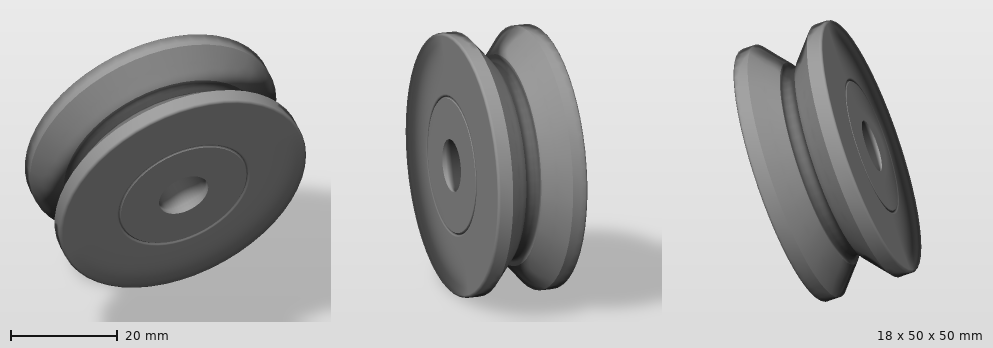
import cadquery as cq
import math

width = 18.0
outer_radius = 25.0
bore_radius = 5.0
rim_land = 3.0
rim_fillet = 0.5

throat_radius = 20.0
relief_radius = 18.5
relief_width = 3.0
relief_fillet = 0.75

ring_outer_radius = 13.5
ring_lip_fillet = 0.5
ring_depth = 0.3
ring_lip_run = math.sqrt(ring_lip_fillet**2 - (ring_lip_fillet - ring_depth) ** 2)
ring_root_radius = ring_outer_radius - ring_lip_run
ring_inner_radius = ring_root_radius - ring_depth

half_width = width / 2
half_relief = relief_width / 2
groove_edge = half_width - rim_land


def make_wheel():
    """Revolve the half section (axial position, radius) about X."""
    section = (
        cq.Workplane("XY")
        .moveTo(-half_width, bore_radius)
        .lineTo(-half_width, outer_radius)
        .lineTo(-groove_edge, outer_radius)
        .lineTo(-half_relief, throat_radius)
        .lineTo(-half_relief, relief_radius + relief_fillet)
        .radiusArc((-half_relief + relief_fillet, relief_radius), -relief_fillet)
        .lineTo(half_relief - relief_fillet, relief_radius)
        .radiusArc((half_relief, relief_radius + relief_fillet), -relief_fillet)
        .lineTo(half_relief, throat_radius)
        .lineTo(groove_edge, outer_radius)
        .lineTo(half_width, outer_radius)
        .lineTo(half_width, bore_radius)
        .close()
    )
    wheel = section.revolve(360, (0, 0, 0), (1, 0, 0))
    rim_edges = wheel.faces("<X or >X").edges(cq.selectors.RadiusNthSelector(-1))
    return rim_edges.fillet(rim_fillet)


def make_ring_groove():
    """Ring cutter for the face on the -X side."""
    return (
        cq.Workplane("XY")
        .moveTo(-half_width, ring_outer_radius)
        .radiusArc((-half_width + ring_depth, ring_root_radius), -ring_lip_fillet)
        .lineTo(-half_width, ring_inner_radius)
        .close()
        .revolve(360, (0, 0, 0), (1, 0, 0))
    )


ring_groove = make_ring_groove()
result = make_wheel().cut(ring_groove).cut(ring_groove.mirror("YZ"))